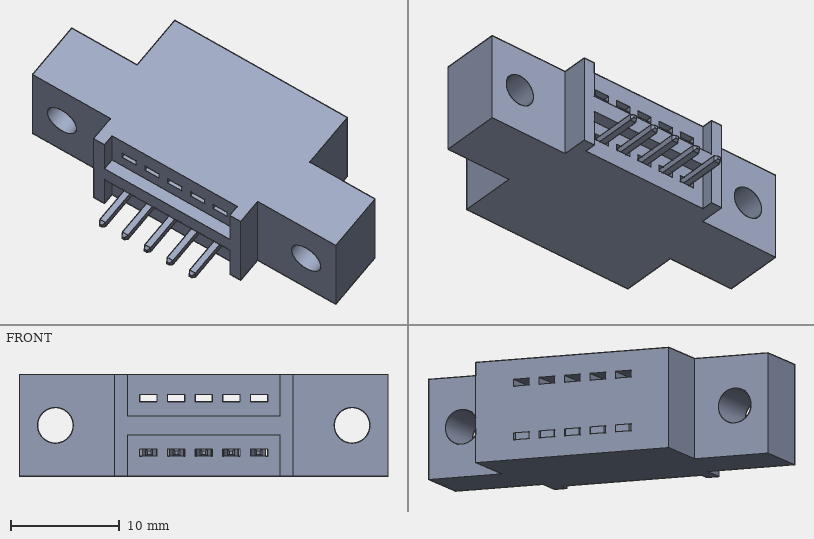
import cadquery as cq


flange_length = 33.9
height = 9.4
front_length = 16.45
rear_length = 19.3
front_depth = 2.75
flange_depth = 6.38
rear_depth = 6.1
housing_depth = front_depth + flange_depth + rear_depth
mount_hole_diameter = 3.25
mount_hole_spacing = 27.3

recess_length = 14.0
recess_depth = 1.22
middle_wall = 1.73
recess_height = (height - middle_wall) / 2

contact_count = 5
slot_pitch = 2.55
row_height = 2.5
slot_width = 1.55
slot_height = 0.65

contact_pitch = 2.5
pin_width = 0.65
pin_reach = 3.5
tip_length = 0.35
tip_inset = 0.17
blade_width = 1.35
shoulder_start = 1.7
shoulder_length = 0.85


def row_places(pitch):
    """X positions of one row, spread evenly about the middle."""
    return [(i - (contact_count - 1) / 2) * pitch for i in range(contact_count)]


def block(length, depth, tall, front_y, middle_z=0):
    """Box centred on X, reaching back along +Y from front_y."""
    return (
        cq.Workplane("XY")
        .box(length, depth, tall, centered=(True, False, True))
        .translate((0, front_y, middle_z))
    )


def make_housing():
    body = block(front_length, front_depth, height, 0)
    body = body.union(block(flange_length, flange_depth, height, front_depth))
    body = body.union(block(rear_length, rear_depth, height, front_depth + flange_depth))

    mount_holes = (
        cq.Workplane("XZ")
        .pushPoints([(-mount_hole_spacing / 2, 0), (mount_hole_spacing / 2, 0)])
        .circle(mount_hole_diameter / 2)
        .extrude(-housing_depth)
    )
    body = body.cut(mount_holes)

    for side in (-1, 1):
        recess_middle = side * (middle_wall + recess_height) / 2
        body = body.cut(block(recess_length, recess_depth, recess_height, 0, recess_middle))

        slots = (
            cq.Workplane("XZ")
            .pushPoints([(x, side * row_height) for x in row_places(slot_pitch)])
            .rect(slot_width, slot_height)
            .extrude(-housing_depth)
        )
        body = body.cut(slots)
    return body


def make_contact(x):
    """Rectangular pin with a tapered tip, widening through shoulders into a flat blade in its slot."""
    tip_base_y = tip_length - pin_reach
    blade_start = shoulder_start + shoulder_length
    half_pin = pin_width / 2
    half_blade = blade_width / 2
    shank = (
        cq.Workplane("XY")
        .polyline([
            (-half_pin, tip_base_y),
            (half_pin, tip_base_y),
            (half_pin, shoulder_start),
            (half_blade, blade_start),
            (half_blade, housing_depth),
            (-half_blade, housing_depth),
            (-half_blade, blade_start),
            (-half_pin, shoulder_start),
        ])
        .close()
        .extrude(slot_height / 2, both=True)
    )
    tip = (
        cq.Workplane("XZ", origin=(0, tip_base_y, 0))
        .rect(pin_width, slot_height)
        .workplane(offset=tip_length)
        .rect(pin_width - 2 * tip_inset, slot_height - 2 * tip_inset)
        .loft(ruled=True)
    )
    return shank.union(tip).translate((x, 0, -row_height))


housing = make_housing()
contacts = [make_contact(x) for x in row_places(contact_pitch)]

result = cq.Compound.makeCompound([housing.val(), *[contact.val() for contact in contacts]])